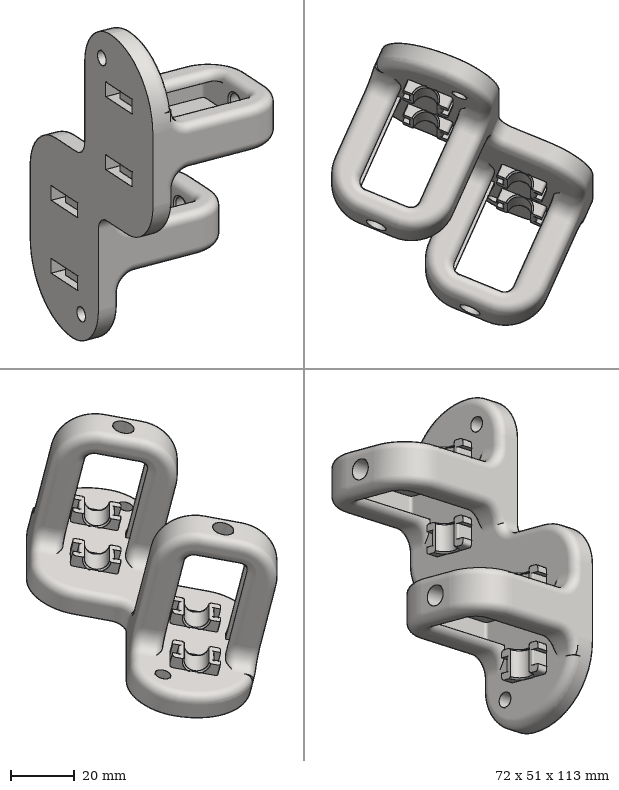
import cadquery as cq
station_width = 40.0
station_height = 65.0
shift_x = 32.0
shift_z = 48.0
half_x = (station_width + shift_x) / 2
half_z = (station_height + shift_z) / 2
station_centers = [(-shift_x / 2, -shift_z / 2), (shift_x / 2, shift_z / 2)]

plate_thickness = 8.0
small_corner = 15.0
large_corner = station_width - small_corner
waist_radius = 5.0
edge_round = 3.0
screw_diameter = 5.0
screw_inset = 10.1

loop_reach = 51.0
loop_height = 15.0
loop_side_wall = 10.0
loop_end_wall = 8.0
inner_end = loop_reach - loop_end_wall
loop_outer_radius = 14.0
loop_inner_radius = 3.0
root_radius = 6.0

leg_skin = 2.0
leg_pocket_corner = 1.0
end_hole_diameter = 6.8
end_hole_chamfer = 0.6

saddle_offset = 12.5
saddle_width = 15.4
saddle_length = 10.0
saddle_rise = 4.0
saddle_corner = 1.0
saddle_top = plate_thickness + saddle_rise
cable_radius = 4.0
cable_flare = 0.6

tie_height = 5.1
tie_thickness = 2.0
core_width = saddle_width - 2 * tie_thickness
core_floor = 3.0
core_corner = 2.0
core_top_round = 0.6

saddle_centers = [(x, z + side * saddle_offset) for x, z in station_centers for side in (-1, 1)]


def block(width, y_start, y_end, height):
    """Box centred on X and Z, running from y_start to y_end."""
    return cq.Workplane("XZ", origin=(0, y_start, 0)).rect(width, height).extrude(y_start - y_end)


def plate_prism(depth):
    """Plate outline raised from the mounting face to the given depth."""
    left = half_x - station_width
    low = half_z - station_height
    start = (left, waist_radius - low)
    half_outline = [
        ((left, half_z - small_corner), 0),
        ((left + small_corner, half_z), small_corner),
        ((half_x, half_z - large_corner), large_corner),
        ((half_x, low + small_corner), 0),
        ((half_x - small_corner, low), small_corner),
        ((waist_radius - left, low), 0),
        ((-left, low - waist_radius), -waist_radius),
    ]
    outline = cq.Workplane("XZ").moveTo(*start)
    for turn in (1, -1):
        for (x, z), radius in half_outline:
            end = (turn * x, turn * z)
            outline = outline.radiusArc(end, radius) if radius else outline.lineTo(*end)
    return outline.close().extrude(-depth)


def inner_end_band(half_height):
    """Selector for edges centred on the inner face of a loop's end wall."""
    reach = loop_end_wall / 2
    return cq.selectors.BoxSelector(
        (-reach, inner_end - reach, -half_height),
        (reach, inner_end + reach, half_height),
    )


def loop():
    """Rounded loop with flared roots, as wide as a station and centred on X and Z."""
    bar = loop_height / 2
    flare_end = bar + root_radius
    flange_end = flare_end + root_radius
    root_top = plate_thickness + root_radius
    solid = (
        cq.Workplane("YZ")
        .moveTo(0, -flange_end)
        .lineTo(plate_thickness, -flange_end)
        .lineTo(plate_thickness, -flare_end)
        .radiusArc((root_top, -bar), root_radius)
        .lineTo(loop_reach, -bar)
        .lineTo(loop_reach, bar)
        .lineTo(root_top, bar)
        .radiusArc((plate_thickness, flare_end), root_radius)
        .lineTo(plate_thickness, flange_end)
        .lineTo(0, flange_end)
        .close()
        .extrude(station_width / 2, both=True)
        .edges("|Z and >Y")
        .fillet(loop_outer_radius)
    )
    opening = (
        block(station_width - 2 * loop_side_wall, 0, inner_end, 2 * flange_end)
        .edges("|Z and >Y")
        .fillet(loop_inner_radius)
    )
    solid = solid.cut(opening)
    solid = solid.edges("|X and >Y").fillet(edge_round)
    solid = solid.edges("|X").edges(inner_end_band(flange_end)).fillet(edge_round)
    return solid.intersect(block(station_width, 0, loop_reach, 2 * flare_end))


def leg_pocket():
    """Pocket that hollows both legs of a loop from the inside, between their rounded rims."""
    width = station_width - 2 * leg_skin
    height = loop_height - 2 * edge_round
    return block(width, plate_thickness, inner_end, height).edges("|Z").fillet(leg_pocket_corner)


def end_hole():
    """Hole through the end wall of a loop, chamfered on the inside."""
    radius = end_hole_diameter / 2
    mouth = radius + end_hole_chamfer
    return (
        cq.Workplane("XY")
        .moveTo(0, inner_end)
        .lineTo(mouth, inner_end)
        .lineTo(radius, inner_end + end_hole_chamfer)
        .lineTo(radius, loop_reach)
        .lineTo(0, loop_reach)
        .close()
        .revolve(360, (0, 0, 0), (0, 1, 0))
    )


def saddle():
    """Block behind the plate that carries the cable."""
    sunk_base = plate_thickness / 2
    body = block(saddle_width, sunk_base, saddle_top, saddle_length)
    return body.edges("|Y").fillet(saddle_corner)


def cable_groove():
    """Round groove along Z whose ends flare outwards."""
    half = saddle_length / 2
    mouth = cable_radius + cable_flare
    return (
        cq.Workplane("XY")
        .moveTo(0, -half)
        .lineTo(mouth, -half)
        .lineTo(cable_radius, cable_flare - half)
        .lineTo(cable_radius, half - cable_flare)
        .lineTo(mouth, half)
        .lineTo(0, half)
        .close()
        .revolve(360, (0, 0, 0), (0, 1, 0))
        .rotate((0, 0, 0), (1, 0, 0), 90)
        .translate((0, saddle_top, 0))
    )


def tie_passage():
    """Slot through plate and saddle, less the core that the cable tie wraps round."""
    slot = block(saddle_width, 0, saddle_top, tie_height)
    core = block(core_width, core_floor, saddle_top, tie_height)
    core = core.edges("|Z and <Y").fillet(core_corner)
    core = core.edges("|Z and >Y").fillet(core_top_round)
    return slot.cut(core)


outline = plate_prism(loop_reach)
result = plate_prism(plate_thickness).faces(">Y").edges().fillet(edge_round)
for x, z in station_centers:
    result = result.union(loop().translate((x, 0, z)).intersect(outline))
    result = result.cut(leg_pocket().translate((x, 0, z)))
    result = result.cut(end_hole().translate((x, 0, z)))
for x, z in saddle_centers:
    result = result.union(saddle().translate((x, 0, z)))
    result = result.cut(tie_passage().translate((x, 0, z)))
    result = result.cut(cable_groove().translate((x, 0, z)))

screw_x = half_x - station_width + screw_inset
screw_z = half_z - screw_inset
for turn in (1, -1):
    hole = cq.Workplane("XZ").center(turn * screw_x, turn * screw_z).circle(screw_diameter / 2)
    result = result.cut(hole.extrude(-plate_thickness))